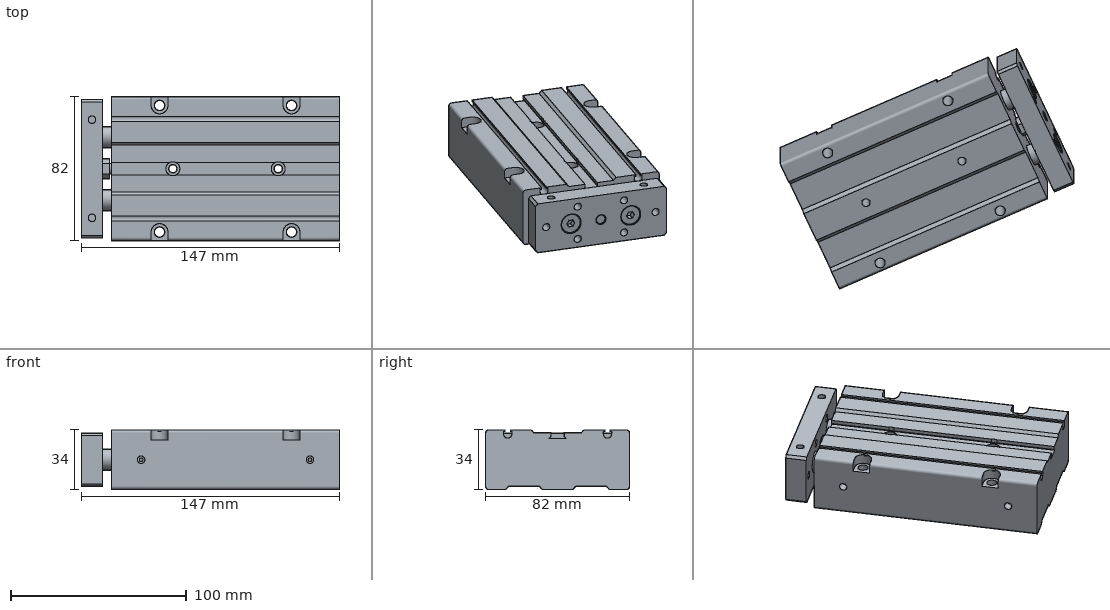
import cadquery as cq
import math

TOTAL_LENGTH = 147.0
HOUSING_WIDTH = 82.0
HOUSING_HEIGHT = 34.0
HOUSING_START = 17.0
HOUSING_LENGTH = TOTAL_LENGTH - HOUSING_START
HOUSING_MIDDLE = HOUSING_START + HOUSING_LENGTH / 2
HOUSING_EDGE_RADIUS = 1.8
TOP = HOUSING_HEIGHT / 2
BOTTOM = -TOP
SIDE = HOUSING_WIDTH / 2

TOP_CHANNEL_HALF_MOUTH = 15.0
TOP_CHANNEL_DEPTH = 1.6
BOTTOM_CHANNEL_HALF_MOUTH = 10.5
BOTTOM_CHANNEL_DEPTH = 2.0
BOTTOM_CHANNEL_Y = 19.1
CENTRE_SLOT_HALF_WIDTH = 3.7
CENTRE_SLOT_LIP = 2.0
CENTRE_SLOT_DEPTH = 3.2
CENTRE_SLOT_UNDERCUT = 1.2
SENSOR_GROOVE_Y = 28.4
SENSOR_GROOVE_WIDTH = 4.7
SENSOR_GROOVE_MOUTH = 3.0
SENSOR_GROOVE_LIP = 1.0
SENSOR_GROOVE_CENTRE_DEPTH = 2.4

CORNER_HOLE_DIAMETER = 5.7
CORNER_HOLE_SPACING_X = 75.1
CORNER_HOLE_Y = 36.0
CORNER_NOTCH_WIDTH = 9.5
CORNER_NOTCH_DEPTH = 5.7
CENTRE_HOLE_DIAMETER = 4.5
CENTRE_HOLE_SPACING_X = 60.0
CENTRE_COUNTERBORE_DIAMETER = 8.0
CENTRE_COUNTERBORE_DEPTH = 8.8
PORT_END_DISTANCE = 16.9
PORT_DIAMETER = 4.3
PORT_DEPTH = 5.9
PORT_PASSAGE_DIAMETER = 2.0
PORT_PASSAGE_DEPTH = 8.8

PLATE_THICKNESS = 12.0
PLATE_WIDTH = 79.0
PLATE_HEIGHT = 30.5
PLATE_CHAMFER = 1.5
PLATE_HOLE_DIAMETER = 4.3
FACE_HOLE_Y = 14.0
FACE_HOLE_Z = 10.0
OUTER_HOLE_Y = 33.0
TOP_HOLE_Y = 28.0
TOP_HOLE_DEPTH = 8.8
GUIDE_ROD_DIAMETER = 12.0
GUIDE_ROD_Y = 18.0
CENTRE_ROD_DIAMETER = 6.0
ROD_END_RECESS_DEPTH = 0.5
SOCKET_ACROSS_FLATS = 4.0
SOCKET_DEPTH = 4.4
NUT_ACROSS_FLATS = 10.0
NUT_THICKNESS = 4.0


def along_x(points):
    """Extrude a closed (Y, Z) outline along the full length of the housing."""
    return cq.Workplane("YZ", origin=(HOUSING_START, 0, 0)).polyline(points).close().extrude(HOUSING_LENGTH)


def cylinder(diameter, length, start, direction):
    """Cylinder that begins at a point and runs along a direction."""
    return cq.Workplane(cq.Solid.makeCylinder(diameter / 2, length, cq.Vector(*start), cq.Vector(*direction)))


def hexagon(across_flats, start_x, length, y):
    """Hexagonal prism along X with flats facing up and down."""
    across_corners = across_flats / math.cos(math.pi / 6)
    return cq.Workplane("YZ", origin=(start_x, y, 0)).polygon(6, across_corners).extrude(length)


def top_channel():
    """Wide shallow channel with 45 degree sides."""
    mouth = TOP_CHANNEL_HALF_MOUTH
    floor = mouth - TOP_CHANNEL_DEPTH
    floor_z = TOP - TOP_CHANNEL_DEPTH
    return along_x([(-mouth, TOP), (mouth, TOP), (floor, floor_z), (-floor, floor_z)])


def centre_slot():
    """Slot in the floor of the top channel that widens below straight lips."""
    mouth = CENTRE_SLOT_HALF_WIDTH
    floor = mouth + CENTRE_SLOT_UNDERCUT
    top_z = TOP - TOP_CHANNEL_DEPTH
    lip_z = top_z - CENTRE_SLOT_LIP
    floor_z = top_z - CENTRE_SLOT_DEPTH
    right_side = [(mouth, top_z), (mouth, lip_z), (floor, floor_z)]
    left_side = [(-y, z) for y, z in reversed(right_side)]
    return along_x(right_side + left_side)


def bottom_channel(y):
    """Wide shallow channel in the underside with 45 degree sides."""
    mouth = BOTTOM_CHANNEL_HALF_MOUTH
    floor = mouth - BOTTOM_CHANNEL_DEPTH
    floor_z = BOTTOM + BOTTOM_CHANNEL_DEPTH
    return along_x([(y - mouth, BOTTOM), (y + mouth, BOTTOM), (y + floor, floor_z), (y - floor, floor_z)])


def sensor_groove(y):
    """Round-bottomed groove that narrows to a mouth between two lips."""
    half_mouth = SENSOR_GROOVE_MOUTH / 2
    half_width = SENSOR_GROOVE_WIDTH / 2
    lip_z = TOP - SENSOR_GROOVE_LIP
    centre_z = TOP - SENSOR_GROOVE_CENTRE_DEPTH
    outline = (
        cq.Workplane("YZ", origin=(HOUSING_START, y, 0))
        .moveTo(-half_mouth, TOP)
        .lineTo(-half_mouth, lip_z)
        .lineTo(-half_width, lip_z)
        .lineTo(-half_width, centre_z)
        .threePointArc((0, centre_z - half_width), (half_width, centre_z))
        .lineTo(half_width, lip_z)
        .lineTo(half_mouth, lip_z)
        .lineTo(half_mouth, TOP)
        .close()
    )
    return outline.extrude(HOUSING_LENGTH)


def corner_mount(x, side):
    """Through hole with a round-ended notch that is open to one side of the housing."""
    y = side * CORNER_HOLE_Y
    floor_z = TOP - CORNER_NOTCH_DEPTH
    hole = cylinder(CORNER_HOLE_DIAMETER, HOUSING_HEIGHT, (x, y, BOTTOM), (0, 0, 1))
    round_end = cylinder(CORNER_NOTCH_WIDTH, CORNER_NOTCH_DEPTH, (x, y, floor_z), (0, 0, 1))
    open_length = SIDE - CORNER_HOLE_Y
    opening = (
        cq.Workplane("XY", origin=(x, y + side * open_length / 2, floor_z))
        .rect(CORNER_NOTCH_WIDTH, open_length)
        .extrude(CORNER_NOTCH_DEPTH)
    )
    return hole.union(round_end).union(opening)


def centre_mount(x):
    """Counterbored through hole on the centre line."""
    hole = cylinder(CENTRE_HOLE_DIAMETER, HOUSING_HEIGHT, (x, 0, BOTTOM), (0, 0, 1))
    return hole.union(cylinder(CENTRE_COUNTERBORE_DIAMETER, CENTRE_COUNTERBORE_DEPTH, (x, 0, TOP), (0, 0, -1)))


def port(x):
    """Blind port in the -Y side with a small passage at its bottom."""
    mouth = cylinder(PORT_DIAMETER, PORT_DEPTH, (x, -SIDE, 0), (0, 1, 0))
    return mouth.union(cylinder(PORT_PASSAGE_DIAMETER, PORT_PASSAGE_DEPTH, (x, -SIDE, 0), (0, 1, 0)))


def make_housing():
    """Extruded housing block with its channels, grooves and holes."""
    body = cq.Workplane("XY").box(HOUSING_LENGTH, HOUSING_WIDTH, HOUSING_HEIGHT)
    body = body.translate((HOUSING_MIDDLE, 0, 0)).edges("|X").fillet(HOUSING_EDGE_RADIUS)
    body = body.cut(top_channel()).cut(centre_slot())
    for side in (-1, 1):
        body = body.cut(bottom_channel(side * BOTTOM_CHANNEL_Y))
        body = body.cut(sensor_groove(side * SENSOR_GROOVE_Y))
    for end in (-1, 1):
        body = body.cut(centre_mount(HOUSING_MIDDLE + end * CENTRE_HOLE_SPACING_X / 2))
        body = body.cut(port(HOUSING_MIDDLE + end * (HOUSING_LENGTH / 2 - PORT_END_DISTANCE)))
        for side in (-1, 1):
            body = body.cut(corner_mount(HOUSING_MIDDLE + end * CORNER_HOLE_SPACING_X / 2, side))
    return body


def plate_holes():
    """Holes through the plate thickness and blind holes in its top edge."""
    places = [(side * OUTER_HOLE_Y, 0) for side in (-1, 1)]
    places += [(side * FACE_HOLE_Y, level * FACE_HOLE_Z) for side in (-1, 1) for level in (-1, 1)]
    holes = cq.Workplane("YZ").pushPoints(places).circle(PLATE_HOLE_DIAMETER / 2).extrude(PLATE_THICKNESS)
    for side in (-1, 1):
        start = (PLATE_THICKNESS / 2, side * TOP_HOLE_Y, PLATE_HEIGHT / 2)
        holes = holes.union(cylinder(PLATE_HOLE_DIAMETER, TOP_HOLE_DEPTH, start, (0, 0, -1)))
    return holes


def rod(diameter, y):
    """Rod from the plate to the housing."""
    return cylinder(diameter, HOUSING_START - PLATE_THICKNESS, (PLATE_THICKNESS, y, 0), (1, 0, 0))


def rod_end_recess(diameter, y):
    """Shallow 45 degree conical recess in the plate face, opposite a rod of the same diameter."""
    mouth_radius = diameter / 2
    floor_radius = mouth_radius - ROD_END_RECESS_DEPTH
    cone = cq.Solid.makeCone(
        mouth_radius, floor_radius, ROD_END_RECESS_DEPTH, cq.Vector(0, y, 0), cq.Vector(1, 0, 0)
    )
    return cq.Workplane(cone)


def add_rod(body, diameter, y):
    """Add a rod and mark its end in the outer face of the plate."""
    return body.union(rod(diameter, y)).cut(rod_end_recess(diameter, y))


def make_slide():
    """End plate in one piece with its two guide rods, centre rod and nut."""
    body = cq.Workplane("XY").box(PLATE_THICKNESS, PLATE_WIDTH, PLATE_HEIGHT)
    body = body.translate((PLATE_THICKNESS / 2, 0, 0)).edges("|X").chamfer(PLATE_CHAMFER)
    body = body.cut(plate_holes())
    body = add_rod(body, CENTRE_ROD_DIAMETER, 0)
    for side in (-1, 1):
        body = add_rod(body, GUIDE_ROD_DIAMETER, side * GUIDE_ROD_Y)
        body = body.cut(hexagon(SOCKET_ACROSS_FLATS, 0, SOCKET_DEPTH, side * GUIDE_ROD_Y))
    return body.union(hexagon(NUT_ACROSS_FLATS, PLATE_THICKNESS, NUT_THICKNESS, 0))


housing = make_housing()
slide = make_slide()
result = cq.Compound.makeCompound([housing.val(), slide.val()])